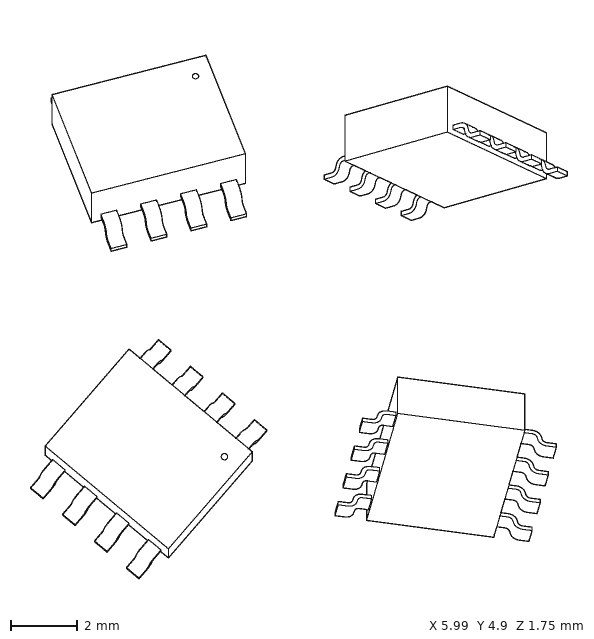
import cadquery as cq
import math

SPAN = 5.99
HEIGHT = 1.75

HOUSING_X = 3.93
HOUSING_Y = 4.9
STANDOFF = 0.25

LEADS_PER_SIDE = 4
LEAD_PITCH = 1.27
LEAD_WIDTH = 0.505
LEAD_THICKNESS = 0.145
FOOT_LENGTH = 0.3
SHOULDER_TOP = 0.57
INNER_BEND_RADIUS = 0.145
BEND_ANGLE = math.radians(75)

MARKER_DIAMETER = 0.2
MARKER_DEPTH = 0.06
MARKER_INSET = 0.665

OUTER_BEND_RADIUS = INNER_BEND_RADIUS + LEAD_THICKNESS
LEAD_REACH = (SPAN - HOUSING_X) / 2
BEND_RADII = INNER_BEND_RADIUS + OUTER_BEND_RADIUS
LEG_RISE = SHOULDER_TOP - LEAD_THICKNESS - BEND_RADII * (1 - math.cos(BEND_ANGLE))
LEG_RUN = LEG_RISE / math.tan(BEND_ANGLE)
BENDS_LENGTH = BEND_RADII * math.sin(BEND_ANGLE) + LEG_RUN

ROW_LENGTH = (LEADS_PER_SIDE - 1) * LEAD_PITCH
MARKER_X = MARKER_INSET - HOUSING_X / 2
MARKER_Y = ROW_LENGTH / 2


def make_marker():
    """Disc whose top is flush with the top of the housing."""
    return (
        cq.Workplane("XY", origin=(MARKER_X, MARKER_Y, HEIGHT - MARKER_DEPTH))
        .circle(MARKER_DIAMETER / 2)
        .extrude(MARKER_DEPTH)
    )


def make_housing(marker):
    """Plain block with a recess that the marker fills."""
    block = cq.Workplane("XY", origin=(0, 0, STANDOFF)).box(
        HOUSING_X, HOUSING_Y, HEIGHT - STANDOFF, centered=(True, True, False)
    )
    return block.cut(marker)


def make_lead(y):
    """Lead on the -X side, centred at y: foot, two opposite bends and shoulder."""
    tip_x = -SPAN / 2
    lower_x = tip_x + FOOT_LENGTH
    lower_z = LEAD_THICKNESS + INNER_BEND_RADIUS
    upper_x = lower_x + BENDS_LENGTH
    upper_z = SHOULDER_TOP - OUTER_BEND_RADIUS

    def on_lower_bend(radius, angle):
        return (lower_x + radius * math.sin(angle), lower_z - radius * math.cos(angle))

    def on_upper_bend(radius, angle):
        return (upper_x - radius * math.sin(angle), upper_z + radius * math.cos(angle))

    half = BEND_ANGLE / 2
    shoulder_end = tip_x + LEAD_REACH
    return (
        cq.Workplane("XZ", origin=(0, y + LEAD_WIDTH / 2, 0))
        .moveTo(tip_x, 0)
        .lineTo(lower_x, 0)
        .threePointArc(on_lower_bend(OUTER_BEND_RADIUS, half), on_lower_bend(OUTER_BEND_RADIUS, BEND_ANGLE))
        .lineTo(*on_upper_bend(INNER_BEND_RADIUS, BEND_ANGLE))
        .threePointArc(on_upper_bend(INNER_BEND_RADIUS, half), on_upper_bend(INNER_BEND_RADIUS, 0))
        .lineTo(shoulder_end, SHOULDER_TOP - LEAD_THICKNESS)
        .lineTo(shoulder_end, SHOULDER_TOP)
        .lineTo(upper_x, SHOULDER_TOP)
        .threePointArc(on_upper_bend(OUTER_BEND_RADIUS, half), on_upper_bend(OUTER_BEND_RADIUS, BEND_ANGLE))
        .lineTo(*on_lower_bend(INNER_BEND_RADIUS, BEND_ANGLE))
        .threePointArc(on_lower_bend(INNER_BEND_RADIUS, half), on_lower_bend(INNER_BEND_RADIUS, 0))
        .lineTo(tip_x, LEAD_THICKNESS)
        .close()
        .extrude(LEAD_WIDTH)
    )


marker = make_marker()
housing = make_housing(marker)

leads = []
for i in range(LEADS_PER_SIDE):
    left_lead = make_lead(i * LEAD_PITCH - ROW_LENGTH / 2)
    right_lead = left_lead.mirror("YZ")
    leads += [left_lead.val(), right_lead.val()]

result = cq.Compound.makeCompound([housing.val(), marker.val(), *leads])